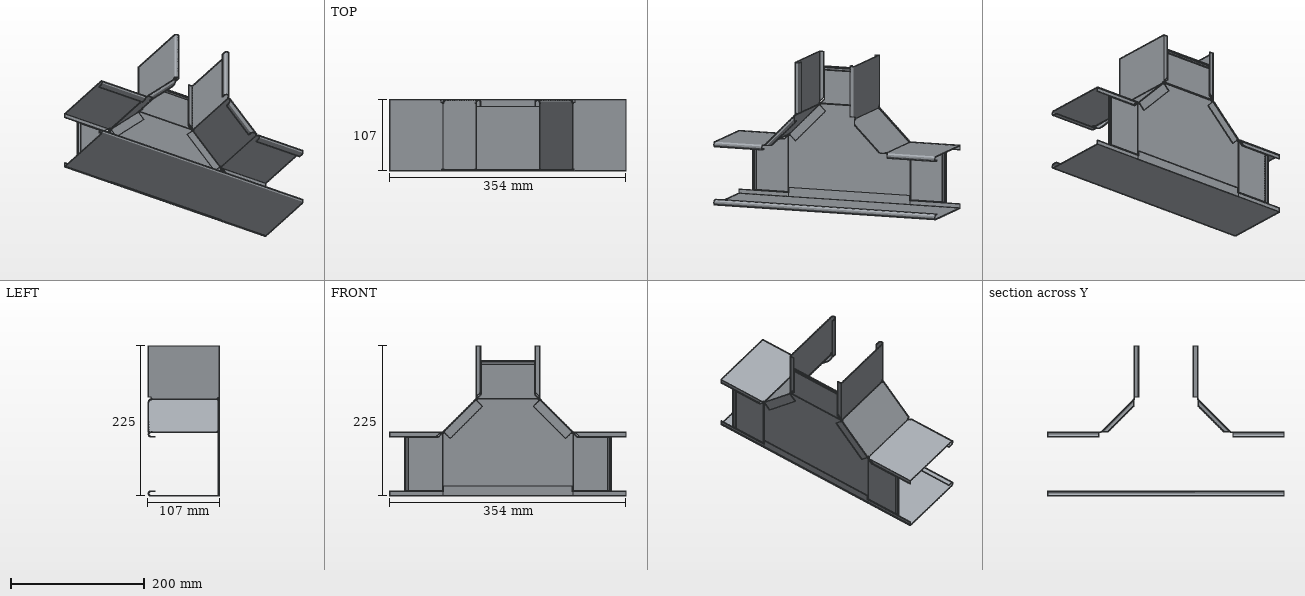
import cadquery as cq
import math


half_length = 177.0
height = 225.0
depth = 107.0
arm_length = 79.5
sheet = 1.15
arm_flange = 7.0
centre_flange = 15.0
flap_inset = 0.7
mitre_gap = 3.0
return_height = 7.8
lip_reach = 10.0
relief_radius = 1.8
relief_reach = 2.5
notch_half_width = 2.0
notch_depth = 2.0
base_mitre_lap = 1.0
edge_gap = 1.0
arm_base_length = 57.7
step_run = 0.9
bead_width = 2.65
bead_depth = 1.5
bead_edge = 2.65

corner_x = half_length - arm_length
corner_z = height - arm_length
arm_width = 2 * (corner_z - corner_x)
half_arm = arm_width / 2
half_bend = 22.5
bend_shift = sheet * math.tan(math.radians(half_bend))
return_radius = return_height / 2
bead_radius = (bead_width**2 / 4 + bead_depth**2) / (2 * bead_depth)
bead_centre = bead_depth - bead_radius
bead_back_half = math.sqrt((bead_radius + sheet) ** 2 - (sheet - bead_centre) ** 2)
centre_half = corner_x - sheet

wall_path = [
    (-half_length, arm_width),
    (-corner_x, arm_width),
    (-half_arm, corner_z),
    (-half_arm, height),
]
side_end, low_bend, high_bend, top_end = wall_path
bend_tilts = ((low_bend, half_bend), (high_bend, 90 - half_bend))
inner_low = (-corner_x + bend_shift, arm_width - sheet)
inner_high = (-half_arm + sheet, corner_z - bend_shift)


def plane_along(start, end):
    """Plane facing +Y whose x runs from start to end and whose y points into the trunking."""
    direction = (end[0] - start[0], 0, end[1] - start[1])
    return cq.Plane(origin=(start[0], 0, start[1]), xDir=direction, normal=(0, 1, 0))


def strip_along(start, end, width, gaps, mitres, thickness):
    """Strip beside a wall run with a gap at each end and its inner corners set back by the mitres."""
    near = gaps[0]
    far = math.dist(start, end) - gaps[1]
    outline = [(near, 0), (far, 0), (far - mitres[1], width), (near + mitres[0], width)]
    return cq.Workplane(plane_along(start, end)).polyline(outline).close().extrude(thickness)


def back_return(start, end):
    """Half-round return with an inward lip along the back edge of a wall run."""
    direction = (end[0] - start[0], 0, end[1] - start[1])
    plane = cq.Plane(origin=(start[0], 0, start[1]), xDir=(0, 1, 0), normal=direction)
    bend_y = depth - return_radius
    lip_y = depth - lip_reach
    return (
        cq.Workplane(plane)
        .moveTo(bend_y - sheet, 0)
        .lineTo(bend_y, 0)
        .threePointArc((depth, -return_radius), (bend_y, -return_height))
        .lineTo(lip_y, -return_height)
        .lineTo(lip_y, sheet - return_height)
        .lineTo(bend_y, sheet - return_height)
        .threePointArc((depth - sheet, -return_radius), (bend_y, -sheet))
        .lineTo(bend_y - sheet, -sheet)
        .close()
        .extrude(math.dist(start, end))
    )


def bend_relief(corner, tilt):
    """Round cutter through a wall bend and the base plate's corner, along the bend's bisector."""
    axis = (-math.sin(math.radians(tilt)), 0, math.cos(math.radians(tilt)))
    plane = cq.Plane(origin=(corner[0], relief_radius, corner[1]), xDir=(0, 1, 0), normal=axis)
    return cq.Workplane(plane).circle(relief_radius).extrude(relief_reach, both=True)


def back_notch(corner, tilt):
    """V-shaped cutter through a wall bend at its back end."""
    axis = (-math.sin(math.radians(tilt)), 0, math.cos(math.radians(tilt)))
    back_edge = depth - return_radius
    plane = cq.Plane(origin=(corner[0], back_edge, corner[1]), xDir=(0, 1, 0), normal=axis)
    outline = [(-notch_depth, 0), (0, notch_half_width), (0, -notch_half_width)]
    return cq.Workplane(plane).polyline(outline).close().extrude(2 * sheet, both=True)


def build_left_wall():
    outline = wall_path + [(-half_arm + sheet, height), inner_high, inner_low,
                           (-half_length, arm_width - sheet)]
    sheet_depth = depth - return_radius
    front = cq.Plane(origin=(0, 0, 0), xDir=(1, 0, 0), normal=(0, -1, 0))
    wall = cq.Workplane(front).polyline(outline).close().extrude(-sheet_depth)
    for corner, tilt in bend_tilts:
        wall = wall.cut(bend_relief(corner, tilt)).cut(back_notch(corner, tilt))
    side_gaps = (0, mitre_gap)
    top_gaps = (mitre_gap, 0)
    slope_mitres = (return_height, return_height)
    for start, end, gaps, mitres in (
        (side_end, low_bend, side_gaps, (0, 0)),
        (low_bend, high_bend, (0, 0), slope_mitres),
        (high_bend, top_end, top_gaps, (0, 0)),
    ):
        envelope = strip_along(start, end, return_height, gaps, mitres, depth)
        wall = wall.union(back_return(start, end).intersect(envelope))

    flap_gaps = (flap_inset, flap_inset)
    for start, end, width, gaps, mitres in (
        (side_end, low_bend, arm_flange, side_gaps, (0, arm_flange)),
        (low_bend, high_bend, centre_flange, flap_gaps, (0, 0)),
        (high_bend, top_end, arm_flange, top_gaps, (arm_flange, 0)),
    ):
        wall = wall.union(strip_along(start, end, width, gaps, mitres, sheet))
    return wall


def build_bottom_wall():
    start = (half_length, 0)
    end = (-half_length, 0)
    wall = cq.Workplane("XY").box(
        2 * half_length, depth - return_radius, sheet, centered=(True, False, False)
    )
    arm_strip = cq.Workplane("XY").box(
        2 * half_length, sheet, arm_flange, centered=(True, False, False)
    )
    centre_strip = cq.Workplane("XY").box(
        2 * centre_half, sheet, centre_flange, centered=(True, False, False)
    )
    return wall.union(arm_strip).union(centre_strip).union(back_return(start, end))


def arm_base(origin, direction, wall_side, both_mitred):
    """Arm of the base plate: a step to the front, then flat, with a bead near its end.

    The edge towards wall_side widens at 45 degrees up to the wall bend, and so does the other
    edge if both_mitred; otherwise that edge stays straight.
    """
    section = cq.Plane(
        origin=origin, xDir=direction, normal=cq.Vector(*direction).cross(cq.Vector(0, 1, 0))
    )
    face = cq.Plane(
        origin=origin, xDir=direction, normal=cq.Vector(*direction).cross(cq.Vector(*wall_side))
    )
    end = arm_base_length
    bead_end = end - bead_edge
    bead_middle = bead_end - bead_width / 2
    bead_start = bead_end - bead_width
    bar = (
        cq.Workplane(section)
        .moveTo(-sheet, sheet)
        .lineTo(0, sheet)
        .lineTo(step_run, 0)
        .lineTo(bead_start, 0)
        .threePointArc((bead_middle, bead_depth), (bead_end, 0))
        .lineTo(end, 0)
        .lineTo(end, sheet)
        .lineTo(bead_middle + bead_back_half, sheet)
        .threePointArc((bead_middle, bead_depth + sheet), (bead_middle - bead_back_half, sheet))
        .lineTo(step_run, sheet)
        .lineTo(0, 2 * sheet)
        .lineTo(-sheet, 2 * sheet)
        .close()
        .extrude(half_arm - sheet, both=True)
    )

    half_width = half_arm - arm_flange - edge_gap
    full_width = half_arm - sheet
    mitre_start = sheet - base_mitre_lap
    mitre_end = half_arm - half_width - base_mitre_lap
    mitred_edge = [(-sheet, full_width), (mitre_start, full_width), (mitre_end, half_width),
                   (end, half_width)]
    other_edge = [(end, -half_width), (-sheet, -half_width)]
    if both_mitred:
        other_edge = [(x, -y) for x, y in reversed(mitred_edge)]
    outline = cq.Workplane(face).polyline(mitred_edge + other_edge).close().extrude(depth, both=True)
    return bar.intersect(outline)


def build_base_plate():
    left_edge = [(-corner_x, sheet), (-corner_x, inner_low[1]), inner_low, inner_high,
                 (-half_arm + sheet, corner_z)]
    right_edge = [(-x, z) for x, z in reversed(left_edge)]
    behind_flanges = cq.Plane(origin=(0, sheet, 0), xDir=(1, 0, 0), normal=(0, -1, 0))
    plate = cq.Workplane(behind_flanges).polyline(left_edge + right_edge).close().extrude(-sheet)
    left_arm = arm_base((-corner_x, 0, half_arm), (-1, 0, 0), (0, 0, 1), False)
    right_arm = left_arm.mirror("YZ")
    top_arm = arm_base((0, 0, corner_z), (0, 0, 1), (-1, 0, 0), True)
    plate = plate.union(left_arm).union(right_arm).union(top_arm)
    for corner, tilt in bend_tilts:
        relief = bend_relief(corner, tilt)
        plate = plate.cut(relief).cut(relief.mirror("YZ"))
    return plate


left_wall = build_left_wall()
right_wall = left_wall.mirror("YZ")
bottom_wall = build_bottom_wall()
base_plate = build_base_plate()

result = cq.Compound.makeCompound([
    left_wall.solids().val(),
    right_wall.solids().val(),
    bottom_wall.solids().val(),
    base_plate.solids().val(),
])